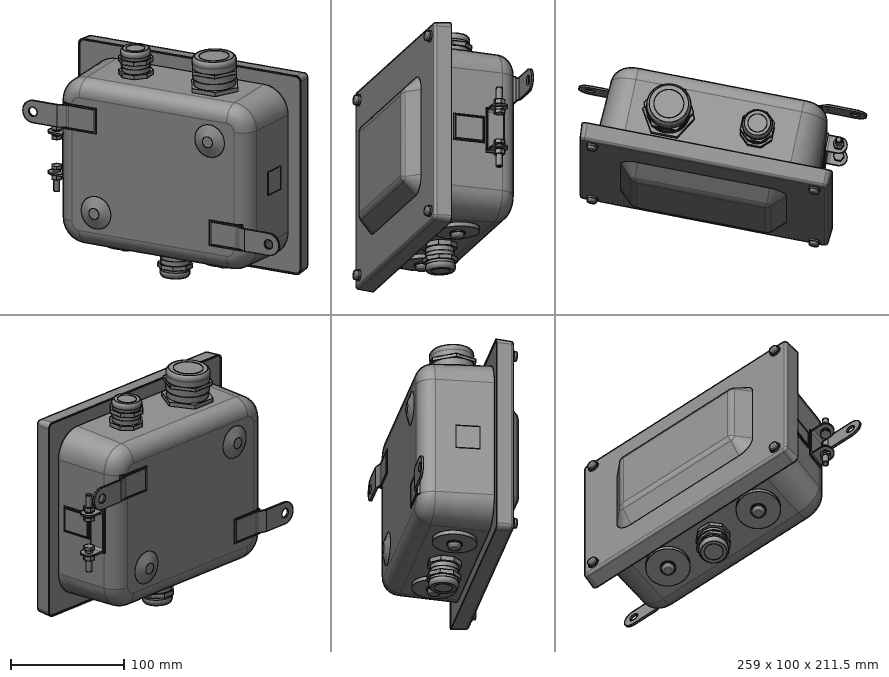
import cadquery as cq
import math


box_width = 198.5
box_height = 157.7
box_depth = 66.5
box_corner_radius = 24.5
box_draft = 2.4
box_front_fillet = 15.0

lid_width = 225.3
lid_height = 184.7
lid_thickness = 15.8
lid_corner_radius = 5.2
lid_draft = 4.6
lid_edge_fillet = 2.5
lid_rim_width = 1.3
lid_rim_height = 0.5
lid_face_y = box_depth + lid_thickness
panel_width = 149.2
panel_height = 108.8
panel_rise = 13.7
panel_corner_radius = 15.3
panel_slope = 45
panel_edge_fillet = 8.3

screw_x = 100.0
screw_z = 80.8
screw_washer_diameter = 10.0
screw_washer_thickness = 1.5
screw_head_diameter = 8.5
screw_head_height = 3.0
screw_head_fillet = 1.3

mount_z = 42.5
lug_reach = 129.5
lug_width = 20.5
lug_hole_diameter = 8.5
lug_thickness = 1.8
lug_front_y = -4.0
lug_step = 3.0
lug_bend_outer_x = 94.8
lug_bend_inner_x = 85.7
lug_inner_x = 59.3
lug_bend_radius = 6.0
bead_inner_x = 57.0
bead_outer_x = 90.1
bead_width = 23.8
bead_bevel = 0.5
bead_front_y = -0.5
bead_back_y = 2.0
foot_x = 57.5
foot_base_diameter = 30.0
foot_tip_diameter = 10.0

entry_y = 40.7
gland_root_z = 72.5
entry_wall_z = box_height / 2 - (box_depth - entry_y) * math.tan(math.radians(box_draft))
small_gland_x = -40.0
small_gland_diameter = 26.0
small_gland_neck_diameter = 25.0
small_gland_end_diameter = 23.0
small_gland_nut_flats = 28.5
small_gland_nut_sides = 8
small_gland_top_z = 102.0
small_gland_collar_z = 86.0
small_gland_nut_z = (90.1, 94.0)
bottom_gland_drop = 0.65
large_gland_x = 40.0
large_gland_diameter = 38.8
large_gland_neck_diameter = 37.3
large_gland_end_diameter = 34.7
large_gland_base_flats = 40.5
large_gland_nut_flats = 38.8
large_gland_top_z = 107.7
large_gland_collar_z = 87.5
large_gland_nut_z = (94.0, 97.0)
base_nut_top_z = 81.5
cap_curve_height = 5.7
cap_curve_bulge = 0.8
seal_recess_depth = 0.3
small_seal_diameter = 16.8
large_seal_diameter = 26.5
plug_x = 49.7
plug_flange_diameter = 39.4
plug_flange_z = 81.5
plug_collar_diameter = 14.0
plug_collar_height = 1.0
plug_tip_diameter = 11.7
plug_tip_height = 4.5
plug_tip_fillet = 2.3

bracket_y = 21.2
bracket_width = 14.8
bracket_half_height = 19.7
bracket_sheet = 1.5
bracket_bend_radius = 2.3
bracket_tip_x = -116.8
bracket_face_x = -99.5
bracket_root_x = -96.3
bracket_bead_margin = 1.0
bracket_bead_x = -98.5
bolt_x = -109.3
bolt_diameter = 5.5
bolt_spacer_diameter = 6.7
bolt_hex_corners = 9.8
bolt_head_start_z = 12.5
bolt_head_end_z = 15.5
bolt_nut_start_z = 21.0
bolt_nut_end_z = 25.0
bolt_end_z = 36.5
bolt_end_chamfer = 0.5

label_y = 45.8
label_length = 29.0
label_height = 24.3
label_rise = 1.0
label_bevel = 0.8
label_inset = 1.8
label_step = 0.3
rear_label_y = 43.5
rear_label_length = 21.5
rear_label_height = 21.5
rear_label_rise = 0.8

HEX_SIDES = 6
OVERLAP = 2.5
ROUND_END_GAP = 0.03


def facing_lid(y):
    """Workplane at the given Y whose normal points to +Y."""
    return cq.Workplane(cq.Plane(origin=(0, y, 0), xDir=(-1, 0, 0), normal=(0, 1, 0)))


def facing_front(y):
    """Workplane at the given Y whose normal points to -Y."""
    return cq.Workplane("XZ", origin=(0, y, 0))


def rounded_rectangle(width, height, radius):
    return cq.Sketch().rect(width, height).vertices().fillet(radius)


def box_between(x_range, y_range, z_range):
    sizes = [high - low for low, high in (x_range, y_range, z_range)]
    corner = (x_range[0], y_range[0], z_range[0])
    return cq.Workplane("XY").box(*sizes, centered=False).translate(corner)


def rod(x, y, start_z, end_z, diameter):
    return cq.Workplane("XY", origin=(x, y, start_z)).circle(diameter / 2).extrude(end_z - start_z)


def corner_diameter(flats, sides):
    return flats / math.cos(math.pi / sides)


def nut(x, y, start_z, end_z, sides, corners):
    outline = cq.Workplane("XY", origin=(x, y, start_z)).polygon(sides, corners)
    return outline.extrude(end_z - start_z)


def square_to_wall(fitting):
    """Lean an upright fitting so that it stands square on the drafted top wall."""
    pivot = (0, entry_y, entry_wall_z)
    return fitting.rotate(pivot, (1, entry_y, entry_wall_z), box_draft)


def make_box():
    outline = rounded_rectangle(box_width, box_height, box_corner_radius)
    shell = facing_front(box_depth).placeSketch(outline).extrude(box_depth, taper=box_draft)
    shell = shell.faces("<Y").edges().fillet(box_front_fillet)
    root = facing_front(box_depth + OVERLAP).placeSketch(outline).extrude(OVERLAP)
    return shell.union(root)


def make_lid():
    outline = rounded_rectangle(lid_width, lid_height, lid_corner_radius)
    lid = facing_lid(box_depth).placeSketch(outline).extrude(lid_thickness, taper=lid_draft)
    lid = lid.faces(">Y").edges().fillet(lid_edge_fillet)
    recess_outline = rounded_rectangle(
        lid_width - 2 * lid_rim_width, lid_height - 2 * lid_rim_width, lid_corner_radius - lid_rim_width
    )
    recess = facing_lid(box_depth).placeSketch(recess_outline).extrude(lid_rim_height)
    lid = lid.cut(recess)
    panel_outline = rounded_rectangle(panel_width, panel_height, panel_corner_radius)
    panel = facing_lid(lid_face_y).placeSketch(panel_outline).extrude(panel_rise, taper=panel_slope)
    panel = panel.faces(">Y").edges().fillet(panel_edge_fillet)
    return lid.union(panel)


def make_lid_screws():
    centres = [(x, z) for x in (-screw_x, screw_x) for z in (-screw_z, screw_z)]
    washers = facing_lid(lid_face_y - OVERLAP).pushPoints(centres).circle(screw_washer_diameter / 2)
    washers = washers.extrude(OVERLAP + screw_washer_thickness)
    heads = facing_lid(lid_face_y).pushPoints(centres).circle(screw_head_diameter / 2)
    heads = heads.extrude(screw_washer_thickness + screw_head_height)
    heads = heads.faces(">Y").edges().fillet(screw_head_fillet)
    return washers.union(heads)


def make_right_lug():
    """Joggled lug reaching to +X, with the weld bead around its inner end."""
    tip_centre_x = lug_reach - lug_width / 2
    outer_back_y = lug_front_y + lug_thickness
    inner_front_y = lug_front_y + lug_step
    strip = (
        cq.Workplane("XY", origin=(0, 0, -lug_width / 2))
        .moveTo(lug_inner_x, inner_front_y)
        .lineTo(lug_bend_inner_x, inner_front_y)
        .lineTo(lug_bend_outer_x, lug_front_y)
        .lineTo(lug_reach, lug_front_y)
        .lineTo(lug_reach, outer_back_y)
        .lineTo(lug_bend_outer_x, outer_back_y)
        .lineTo(lug_bend_inner_x, inner_front_y + lug_thickness)
        .lineTo(lug_inner_x, inner_front_y + lug_thickness)
        .close()
        .extrude(lug_width)
    )
    inner_bends = cq.selectors.BoxSelector(
        (lug_bend_inner_x - lug_thickness, -OVERLAP, -OVERLAP),
        (lug_bend_inner_x + lug_thickness, OVERLAP, OVERLAP),
    )
    strip = strip.edges("|Z").edges(inner_bends).fillet(lug_bend_radius)
    strip = strip.edges("|Y and >X").fillet(lug_width / 2 - ROUND_END_GAP)
    hole = facing_front(OVERLAP).center(tip_centre_x, 0).circle(lug_hole_diameter / 2)
    strip = strip.cut(hole.extrude(2 * OVERLAP - lug_front_y))
    bead = box_between(
        (bead_inner_x, bead_outer_x),
        (bead_front_y, bead_back_y),
        (-bead_width / 2, bead_width / 2),
    )
    bead = bead.faces("<Y").edges("not(>X)").chamfer(bead_bevel)
    return strip.union(bead).translate((0, 0, -mount_z))


def make_left_lug():
    """The right lug turned half a turn about the Y axis."""
    return make_right_lug().rotate((0, 0, 0), (0, 1, 0), 180)


def make_foot(x, z):
    profile = (
        cq.Workplane("XY")
        .moveTo(0, OVERLAP)
        .lineTo(foot_base_diameter / 2, OVERLAP)
        .lineTo(foot_base_diameter / 2, 0)
        .lineTo(foot_tip_diameter / 2, lug_front_y)
        .lineTo(0, lug_front_y)
        .close()
    )
    return profile.revolve(360, (0, 0), (0, 1)).translate((x, 0, z))


def make_gland_body(x, top_z, diameter, neck_diameter, end_diameter, collar_z):
    """Turned gland body: neck, collar and a cap whose rim curves in to the end face."""
    radius = diameter / 2
    end_radius = end_diameter / 2
    rim_z = top_z - cap_curve_height
    rim_middle = ((radius + end_radius) / 2 + cap_curve_bulge, (rim_z + top_z) / 2 + cap_curve_bulge)
    profile = (
        cq.Workplane("XZ")
        .moveTo(0, gland_root_z)
        .lineTo(neck_diameter / 2, gland_root_z)
        .lineTo(neck_diameter / 2, collar_z)
        .lineTo(radius, collar_z)
        .lineTo(radius, rim_z)
        .threePointArc(rim_middle, (end_radius, top_z))
        .lineTo(0, top_z)
        .close()
    )
    return profile.revolve(360, (0, 0), (0, 1)).translate((x, entry_y, 0))


def make_small_gland(x):
    corners = corner_diameter(small_gland_nut_flats, small_gland_nut_sides)
    body = make_gland_body(
        x, small_gland_top_z, small_gland_diameter,
        small_gland_neck_diameter, small_gland_end_diameter, small_gland_collar_z,
    )
    for start_z, end_z in ((gland_root_z, base_nut_top_z), small_gland_nut_z):
        ring = nut(0, 0, start_z, end_z, small_gland_nut_sides, corners)
        ring = ring.rotate((0, 0, 0), (0, 0, 1), 180 / small_gland_nut_sides)
        body = body.union(ring.translate((x, entry_y, 0)))
    seal_floor_z = small_gland_top_z - seal_recess_depth
    seal = rod(x, entry_y, seal_floor_z, small_gland_top_z, small_seal_diameter)
    return square_to_wall(body.cut(seal))


def make_large_gland():
    body = make_gland_body(
        large_gland_x, large_gland_top_z, large_gland_diameter,
        large_gland_neck_diameter, large_gland_end_diameter, large_gland_collar_z,
    )
    base_corners = corner_diameter(large_gland_base_flats, HEX_SIDES)
    nut_corners = corner_diameter(large_gland_nut_flats, HEX_SIDES)
    base = nut(large_gland_x, entry_y, gland_root_z, base_nut_top_z, HEX_SIDES, base_corners)
    upper = nut(large_gland_x, entry_y, *large_gland_nut_z, HEX_SIDES, nut_corners)
    seal_floor_z = large_gland_top_z - seal_recess_depth
    seal = rod(large_gland_x, entry_y, seal_floor_z, large_gland_top_z, large_seal_diameter)
    return square_to_wall(body.union(base).union(upper).cut(seal))


def make_bottom_gland():
    gland = make_small_gland(0).mirror("XY")
    return gland.translate((0, 0, -bottom_gland_drop))


def make_plug(x):
    collar_z = plug_flange_z + plug_collar_height
    flange = rod(x, entry_y, gland_root_z, plug_flange_z, plug_flange_diameter)
    collar = rod(x, entry_y, gland_root_z, collar_z, plug_collar_diameter)
    tip = rod(x, entry_y, gland_root_z, collar_z + plug_tip_height, plug_tip_diameter)
    tip = tip.faces(">Z").edges().fillet(plug_tip_fillet)
    return square_to_wall(flange.union(collar).union(tip)).mirror("XY")


def make_ground_bolt():
    """Upper bolt: head inside the bracket, nut and free end outside."""
    bolt = rod(bolt_x, bracket_y, bolt_head_start_z, bolt_end_z, bolt_diameter)
    bolt = bolt.faces(">Z").chamfer(bolt_end_chamfer)
    spacer = rod(bolt_x, bracket_y, bolt_head_start_z, bolt_nut_end_z, bolt_spacer_diameter)
    head = nut(bolt_x, bracket_y, bolt_head_start_z, bolt_head_end_z, HEX_SIDES, bolt_hex_corners)
    outer_nut = nut(bolt_x, bracket_y, bolt_nut_start_z, bolt_nut_end_z, HEX_SIDES, bolt_hex_corners)
    return bolt.union(spacer).union(head).union(outer_nut)


def make_ground_bracket():
    half_width = bracket_width / 2
    y_range = (bracket_y - half_width, bracket_y + half_width)
    inner_z = bracket_half_height - bracket_sheet
    channel = box_between(
        (bracket_tip_x, bracket_root_x), y_range, (-bracket_half_height, bracket_half_height)
    )
    channel = channel.edges("|Y and >X").fillet(bracket_bend_radius + bracket_sheet)
    opening = box_between((bracket_tip_x, bracket_face_x), y_range, (-inner_z, inner_z))
    opening = opening.edges("|Y and >X").fillet(bracket_bend_radius)
    channel = channel.cut(opening)
    channel = channel.edges("|Z and <X").fillet(half_width - ROUND_END_GAP)
    bead_half_width = half_width + bracket_bead_margin
    bead_half_height = bracket_half_height + bracket_bead_margin
    bead = box_between(
        (bracket_bead_x, bracket_root_x + OVERLAP),
        (bracket_y - bead_half_width, bracket_y + bead_half_width),
        (-bead_half_height, bead_half_height),
    )
    bolt = make_ground_bolt()
    return channel.union(bead).union(bolt).union(bolt.mirror("XY"))


def lay_on_wall(plate, y):
    """Tilt a plate that faces +X at the origin and set it on the drafted +X wall."""
    wall_x = box_width / 2 - (box_depth - y) * math.tan(math.radians(box_draft))
    return plate.rotate((0, 0, 0), (0, 0, 1), -box_draft).translate((wall_x, y, 0))


def make_label():
    plate = box_between(
        (-OVERLAP, label_rise),
        (-label_length / 2, label_length / 2),
        (-label_height / 2, label_height / 2),
    )
    plate = plate.faces(">X").edges().chamfer(label_bevel)
    face_length = label_length - 2 * label_inset
    face_height = label_height - 2 * label_inset
    face = cq.Workplane("YZ").rect(face_length, face_height).extrude(label_rise + label_step)
    return lay_on_wall(plate.union(face), label_y).mirror("YZ")


def make_rear_label():
    plate = box_between(
        (-OVERLAP, rear_label_rise),
        (-rear_label_length / 2, rear_label_length / 2),
        (-rear_label_height / 2, rear_label_height / 2),
    )
    return lay_on_wall(plate, rear_label_y)


features = [
    make_lid(),
    make_lid_screws(),
    make_right_lug(),
    make_left_lug(),
    make_foot(foot_x, mount_z),
    make_foot(-foot_x, -mount_z),
    make_small_gland(small_gland_x),
    make_large_gland(),
    make_bottom_gland(),
    make_plug(-plug_x),
    make_plug(plug_x),
    make_ground_bracket(),
    make_label(),
    make_rear_label(),
]

result = make_box()
for feature in features:
    result = result.union(feature)